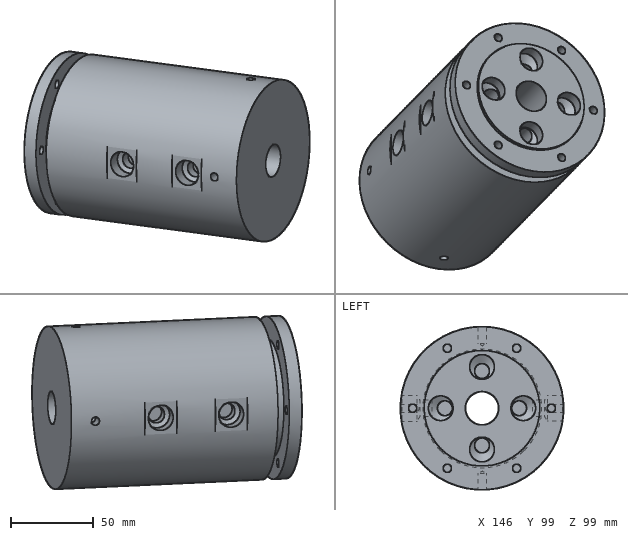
import cadquery as cq
import math

body_diameter = 99.0
body_end_x = 146.0
spigot_diameter = 70.0
spigot_length = 2.0
flange_thickness = 8.0
neck_diameter = 72.0
neck_length = 7.0
bore_diameter = 20.0

bolt_hole_diameter = 5.0
bolt_circle_diameter = 84.0
bolt_hole_count = 6

axial_port_diameter = 15.0
axial_port_depth = 8.0
axial_port_radius = 25.0
axial_port_count = 4
passage_diameter = 9.0
passage_radius = 22.5
passage_end_x = 30.0

port_pitch = 22.0
first_port_x = 46.0
port_count = 4
spot_face_side = 20.0
spot_face_radius = 48.5
radial_port_diameter = 15.5
radial_port_depth = 9.0
radial_drilling_diameter = 10.0
radial_drilling_depth = 18.0

pin_hole_diameter = 5.0
pin_hole_depth = 10.0
pin_hole_end_distance = 15.0
pin_hole_count = 4

drill_point_angle = 118.0

body_radius = body_diameter / 2
flange_start_x = spigot_length
flange_end_x = flange_start_x + flange_thickness
neck_end_x = flange_end_x + neck_length
x_axis = cq.Vector(1, 0, 0)


def drilled_hole(start, direction, diameter, depth):
    """Cutter for a blind hole that ends in a drill-point cone."""
    radius = diameter / 2
    tip_length = radius / math.tan(math.radians(drill_point_angle / 2))
    barrel = cq.Solid.makeCylinder(radius, depth, start, direction)
    tip = cq.Solid.makeCone(radius, 0, tip_length, start + direction * depth, direction)
    return barrel.fuse(tip)


def around_axis(x, radius, angle):
    """Point at station x, at a radius from the X axis and an angle from +Y towards +Z."""
    return cq.Vector(x, radius * math.cos(angle), radius * math.sin(angle))


def make_body():
    return (
        cq.Workplane("XZ")
        .moveTo(0, bore_diameter / 2)
        .lineTo(0, spigot_diameter / 2)
        .lineTo(flange_start_x, spigot_diameter / 2)
        .lineTo(flange_start_x, body_radius)
        .lineTo(flange_end_x, body_radius)
        .lineTo(flange_end_x, neck_diameter / 2)
        .lineTo(neck_end_x, neck_diameter / 2)
        .lineTo(neck_end_x, body_radius)
        .lineTo(body_end_x, body_radius)
        .lineTo(body_end_x, bore_diameter / 2)
        .close()
        .revolve(360, (0, 0, 0), (1, 0, 0))
    )


def cut_bolt_holes(part):
    for index in range(bolt_hole_count):
        angle = 2 * math.pi * index / bolt_hole_count
        start = around_axis(flange_start_x, bolt_circle_diameter / 2, angle)
        part = part.cut(cq.Solid.makeCylinder(bolt_hole_diameter / 2, flange_thickness, start, x_axis))
    return part


def cut_axial_ports(part):
    for index in range(axial_port_count):
        angle = 2 * math.pi * index / axial_port_count
        port_start = around_axis(0, axial_port_radius, angle)
        passage_start = around_axis(axial_port_depth, passage_radius, angle)
        passage_length = passage_end_x - axial_port_depth
        part = part.cut(drilled_hole(port_start, x_axis, axial_port_diameter, axial_port_depth))
        part = part.cut(cq.Solid.makeCylinder(passage_diameter / 2, passage_length, passage_start, x_axis))
    return part


def cut_radial_ports(part):
    """Ports spaced evenly along X, alternating between the +Y and -Y sides."""
    face_depth = body_radius - spot_face_radius
    face_cutter = cq.Workplane("XY").box(spot_face_side, face_depth, spot_face_side)
    for index in range(port_count):
        x = first_port_x + index * port_pitch
        side = 1 if index % 2 == 0 else -1
        inward = cq.Vector(0, -side, 0)
        face_centre = cq.Vector(x, side * spot_face_radius, 0)
        part = part.cut(face_cutter.translate((x, side * (spot_face_radius + face_depth / 2), 0)))
        part = part.cut(drilled_hole(face_centre, inward, radial_port_diameter, radial_port_depth))
        part = part.cut(
            cq.Solid.makeCylinder(radial_drilling_diameter / 2, radial_drilling_depth, face_centre, inward)
        )
    return part


def cut_pin_holes(part):
    x = body_end_x - pin_hole_end_distance
    for index in range(pin_hole_count):
        angle = 2 * math.pi * index / pin_hole_count
        start = around_axis(x, body_radius, angle)
        inward = around_axis(0, -1, angle)
        part = part.cut(drilled_hole(start, inward, pin_hole_diameter, pin_hole_depth))
    return part


result = make_body()
result = cut_bolt_holes(result)
result = cut_axial_ports(result)
result = cut_radial_ports(result)
result = cut_pin_holes(result)